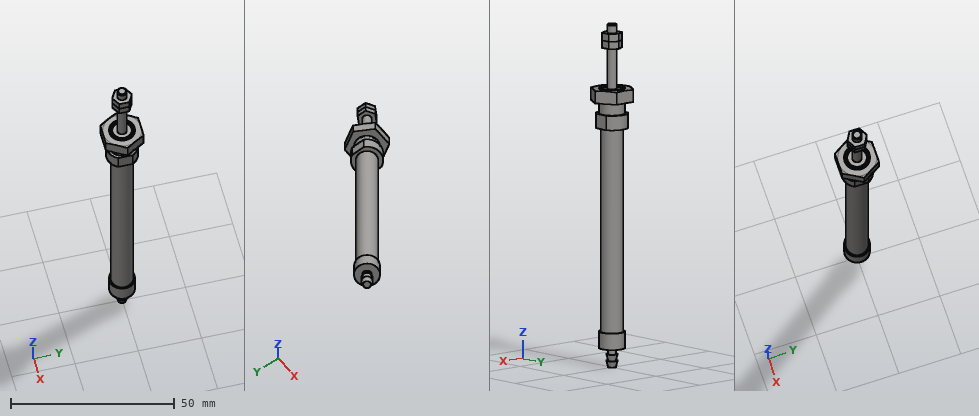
import cadquery as cq
import math

overall_height = 107.0
barb_pitch = 2.0
cap_bottom = 6.0
cap_top = 11.1
collar_bottom = 74.7
collar_top = 79.2
mount_nut_bottom = 83.0
mount_nut_height = 4.0
mount_nut_top = mount_nut_bottom + mount_nut_height

barb_neck_diameter = 2.5
barb_diameter = 3.5
barb_root_flare = 0.27
barb_count = 2
cap_diameter = 8.0
tube_diameter = 7.0
collar_diameter = 10.0
collar_flat_width = 8.9
neck_diameter = 8.0
spigot_diameter = 7.3
spigot_end_diameter = 6.6
bearing_ring_diameter = 6.0
bearing_recess = 0.1

rod_diameter = 3.0
rod_tip_diameter = 2.4
rod_bottom = collar_bottom

mount_nut_across_flats = 12.0
mount_nut_face_diameter = mount_nut_across_flats
mount_nut_chamfer_height = 0.2

lock_nut_across_flats = 5.5
lock_nut_height = 2.4
lock_nut_count = 2
lock_nuts_bottom = 99.6


def cylinder(diameter, bottom, top):
    return cq.Workplane("XY").workplane(offset=bottom).circle(diameter / 2).extrude(top - bottom)


def cone(bottom_diameter, top_diameter, bottom, top):
    solid = cq.Solid.makeCone(
        bottom_diameter / 2, top_diameter / 2, top - bottom, cq.Vector(0, 0, bottom)
    )
    return cq.Workplane(solid)


def across_corners(across_flats):
    return across_flats / math.cos(math.pi / 6)


def hex_prism(across_flats, bottom, height):
    """Hexagonal prism with two corners on the X axis."""
    base = cq.Workplane("XY").workplane(offset=bottom)
    return base.polygon(6, across_corners(across_flats)).extrude(height)


def make_hose_barb():
    barb = cylinder(barb_neck_diameter, 0, cap_bottom)
    for index in range(barb_count):
        bottom = index * barb_pitch
        barb = barb.union(cone(barb_neck_diameter, barb_diameter, bottom, bottom + barb_pitch))
    return barb


def make_barb_root():
    """Small flare that blends the barb neck into the underside of the cap."""
    root_diameter = barb_neck_diameter + 2 * barb_root_flare
    return cone(barb_neck_diameter, root_diameter, cap_bottom - barb_root_flare, cap_bottom)


def make_collar():
    """Round collar with two wrench flats facing -X and +X."""
    height = collar_top - collar_bottom
    flats = cq.Workplane("XY").box(collar_flat_width, collar_diameter, height, centered=(True, True, False))
    return cylinder(collar_diameter, collar_bottom, collar_top).intersect(
        flats.translate((0, 0, collar_bottom))
    )


def make_spigot():
    """Reduced end that fills the mounting nut, chamfered at its top edge."""
    chamfer = (spigot_diameter - spigot_end_diameter) / 2
    return cylinder(spigot_diameter, mount_nut_bottom, mount_nut_top).faces(">Z").chamfer(chamfer)


def make_cylinder_body():
    body = make_hose_barb()
    body = body.union(cylinder(cap_diameter, cap_bottom, cap_top))
    body = body.union(make_barb_root())
    body = body.union(cylinder(tube_diameter, cap_top, collar_bottom))
    body = body.union(make_collar())
    body = body.union(cylinder(neck_diameter, collar_top, mount_nut_bottom))
    body = body.union(make_spigot())
    recess = cylinder(bearing_ring_diameter, mount_nut_top - bearing_recess, mount_nut_top)
    rod_bore = cylinder(rod_diameter, rod_bottom, mount_nut_top)
    return body.cut(recess).cut(rod_bore)


def make_rod():
    tip_chamfer = (rod_diameter - rod_tip_diameter) / 2
    return cylinder(rod_diameter, rod_bottom, overall_height).faces(">Z").chamfer(tip_chamfer)


def make_mount_nut():
    """Hexagon nut with top corners chamfered and a countersunk top of its bore."""
    corner_diameter = across_corners(mount_nut_across_flats)
    chamfer_bottom = mount_nut_top - mount_nut_chamfer_height
    envelope = cylinder(corner_diameter, mount_nut_bottom, chamfer_bottom).union(
        cone(corner_diameter, mount_nut_face_diameter, chamfer_bottom, mount_nut_top)
    )
    nut = hex_prism(mount_nut_across_flats, mount_nut_bottom, mount_nut_height).intersect(envelope)
    countersink_depth = (neck_diameter - spigot_diameter) / 2
    countersink = cone(spigot_diameter, neck_diameter, mount_nut_top - countersink_depth, mount_nut_top)
    return nut.cut(cylinder(spigot_diameter, mount_nut_bottom, mount_nut_top)).cut(countersink)


def make_lock_nut(bottom):
    """Plain hexagon nut with two corners on the Y axis."""
    nut = hex_prism(lock_nut_across_flats, bottom, lock_nut_height).rotate((0, 0, 0), (0, 0, 1), 90)
    return nut.cut(cylinder(rod_diameter, bottom, bottom + lock_nut_height))


cylinder_body = make_cylinder_body()
rod = make_rod()
mount_nut = make_mount_nut()
lock_nuts = [make_lock_nut(lock_nuts_bottom + index * lock_nut_height) for index in range(lock_nut_count)]

result = cq.Compound.makeCompound(
    [cylinder_body.val(), rod.val(), mount_nut.val(), *[nut.val() for nut in lock_nuts]]
)